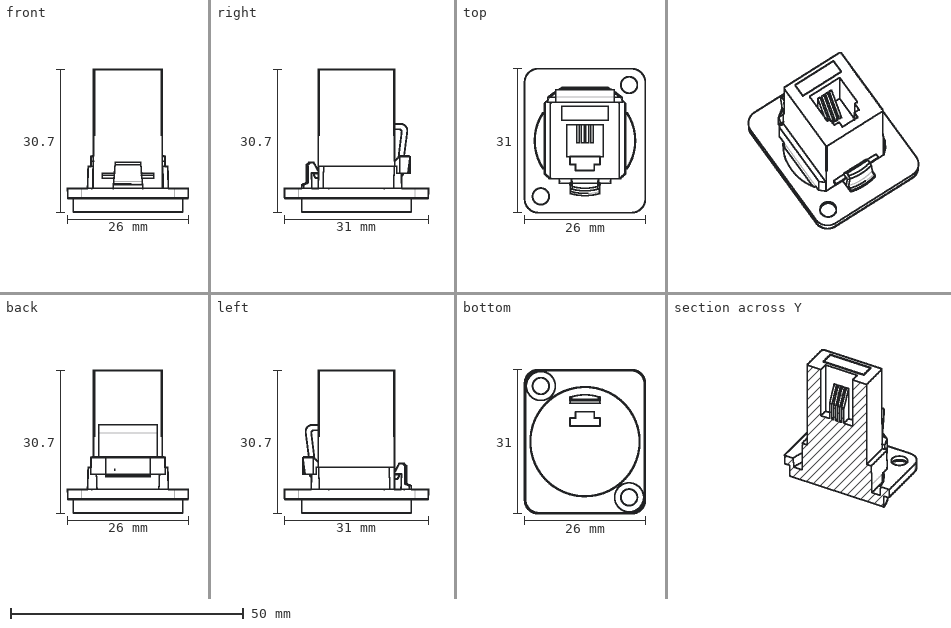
import cadquery as cq
import math

plate_x = 26.0
plate_y = 31
plate_corner = 3.0
plate_bottom = 2.82
plate_top = 5.1
plate_chamfer = 0.22
plate_draft = 1
spigot_radius = 11.8
spigot_chamfer = 0.12
hole_x = 9.5
hole_y = 11.97
hole_diameter = 3.5
sink_depth = 1.35

recess_radius = 10.88
recess_half_y = 6.0
recess_draft = 3.5

body_x = 14.82
body_y = 16.43
body_top = 30.7
edge_chamfer = 0.25
edge_chamfer_length = 14.2

base_half_x = 8.7
base_back = 9.75
base_chamfer_x = 1.15
base_chamfer_y = 1.1
base_top = 9.8
base_draft = 1.7

jack_half_x = 3.9
jack_half_y = 3.4
jack_floor = 18.6
key_half_x = 3.2
key_end = -5.08
tongue_half_x = 1.98
tongue_end = -6.4
contact_count = 4
contact_pitch = 1.0
contact_width = 0.6
contact_top = 26.47
contact_tip_y = -0.45
label_x = 9.98
label_y = 3.0
label_center_y = 5.85
label_depth = 0.15

bar_half_x = 8.0
bar_front = 11.53
bar_lower_front = 11.05
bar_bulge = 0.1
bar_front_half_x = 4.77
bar_bottom = 8.35
bar_top = 12.1
bar_chamfer = 0.25
bar_slope_start = 10.95
bar_slope_end_y = 9.3
gusset_y = 0.25
gusset_z = 0.55
strap_half_x = 6.3
strap_thickness = 1.2
strap_top = 18.97
strap_outer_y = 11.15
strap_foot_y = 10.23
strap_outer_bend = 1.5
strap_inner_bend = 0.5
strap_inset = 0.2

tab_half_bottom = 3.2
tab_half_top = 2.73
tab_inner_radius = 10.08
tab_foot_top = 5.83
tab_shoulder_z = 6.08
tab_foot_fillet = 0.55
tab_wall_radius = 10.8
tab_wall_top = 10.15
tab_top = 10.65
tab_top_outer_radius = 10.23
hook_top_y = -9.18
hook_tip_z = 8.87
hook_bottom = 8.37
rib_half_x = 5.5
rib_depth = 0.93
rib_top = 8.35
rib_bottom = 7.3
rib_chamfer_y = 0.37
rib_chamfer_z = 0.6


def block(x0, x1, y0, y1, z0, z1):
    """Axis-aligned box between two opposite corners."""
    return cq.Workplane("XY").box(x1 - x0, y1 - y0, z1 - z0, centered=False).translate((x0, y0, z0))


def cylinder(radius, z0, z1):
    """Cylinder on the Z axis."""
    return cq.Workplane("XY").workplane(offset=z0).circle(radius).extrude(z1 - z0)


def prism_along_x(points, half_x):
    """Prism with a (Y, Z) outline, centred on X = 0."""
    return cq.Workplane("YZ").polyline(points).close().extrude(half_x, both=True)


def make_flange():
    """Rounded plate with a spigot below, side recesses and two mounting holes."""
    plate = (
        cq.Workplane("XY").workplane(offset=plate_top)
        .sketch().rect(plate_x, plate_y).vertices().fillet(plate_corner).finalize()
        .extrude(plate_bottom - plate_top, taper=plate_draft)
        .faces("<Z").edges().chamfer(plate_chamfer)
    )
    spigot = cylinder(spigot_radius, 0, plate_bottom).faces("<Z").edges().chamfer(spigot_chamfer)
    recess_end_x = math.sqrt(recess_radius**2 - recess_half_y**2)
    recesses = (
        cq.Workplane("XY").workplane(offset=plate_top)
        .moveTo(-recess_end_x, -recess_half_y)
        .lineTo(recess_end_x, -recess_half_y)
        .threePointArc((recess_radius, 0), (recess_end_x, recess_half_y))
        .lineTo(-recess_end_x, recess_half_y)
        .threePointArc((-recess_radius, 0), (-recess_end_x, -recess_half_y))
        .close().extrude(plate_bottom - plate_top, taper=recess_draft)
    )
    flange = plate.union(spigot).cut(recesses)
    sink_radius = hole_diameter / 2 + sink_depth
    for side in (-1, 1):
        hole = cylinder(hole_diameter / 2, plate_bottom, plate_top)
        sink_base = cq.Vector(0, 0, plate_bottom)
        sink = cq.Solid.makeCone(sink_radius, hole_diameter / 2, sink_depth, pnt=sink_base)
        flange = flange.cut(hole.union(sink).translate((side * hole_x, side * hole_y, 0)))
    return flange


def make_base():
    """Wide base of the housing, drafted above the plate and rounded to the spigot."""
    front = -body_y / 2
    outline = [
        (-base_half_x, base_back),
        (-base_half_x, front + base_chamfer_y),
        (-base_half_x + base_chamfer_x, front),
        (base_half_x - base_chamfer_x, front),
        (base_half_x, front + base_chamfer_y),
        (base_half_x, base_back),
    ]
    root = (
        cq.Workplane("XY").workplane(offset=plate_bottom)
        .polyline(outline).close().extrude(plate_top - plate_bottom)
    )
    drafted = (
        cq.Workplane("XY").workplane(offset=plate_top)
        .polyline(outline).close().extrude(base_top - plate_top, taper=base_draft)
    )
    return root.union(drafted).intersect(cylinder(spigot_radius, plate_bottom, base_top))


def make_body():
    """Square housing whose upright edges are chamfered near the top."""
    chamfer_bottom = body_top - edge_chamfer_length
    lower = block(-body_x / 2, body_x / 2, -body_y / 2, body_y / 2, plate_bottom, chamfer_bottom)
    upper = block(-body_x / 2, body_x / 2, -body_y / 2, body_y / 2, chamfer_bottom, body_top)
    return lower.union(upper.edges("|Z").chamfer(edge_chamfer))


def make_openings():
    """Plug opening with a floor, stepped keyway right through, and shallow label recess."""
    opening = block(-jack_half_x, jack_half_x, -jack_half_y, jack_half_y, jack_floor, body_top)
    key = block(-key_half_x, key_half_x, key_end, -jack_half_y, 0, body_top)
    tongue = block(-tongue_half_x, tongue_half_x, tongue_end, key_end, 0, body_top)
    label = (
        cq.Workplane("XY").box(label_x, label_y, label_depth)
        .translate((0, label_center_y, body_top - label_depth / 2))
    )
    return opening.union(key).union(tongue).union(label)


def make_contacts():
    """Row of sloped contacts on the +Y wall of the plug opening."""
    contact = prism_along_x(
        [(jack_half_y, contact_top), (jack_half_y, jack_floor), (contact_tip_y, jack_floor)],
        contact_width / 2,
    )
    contacts = cq.Workplane("XY")
    for index in range(contact_count):
        offset = (index - (contact_count - 1) / 2) * contact_pitch
        contacts = contacts.union(contact.translate((offset, 0, 0)))
    return contacts


def bar_outline(front_y, z):
    """Plan outline of the latch bar with slightly bowed corner faces."""
    back = body_y / 2
    chord_x = bar_front_half_x - bar_half_x
    chord_y = front_y - bar_slope_end_y
    chord = math.hypot(chord_x, chord_y)
    bow_x = (bar_half_x + bar_front_half_x) / 2 + bar_bulge * chord_y / chord
    bow_y = (bar_slope_end_y + front_y) / 2 - bar_bulge * chord_x / chord
    return (
        cq.Workplane("XY").workplane(offset=z)
        .moveTo(-bar_half_x, back)
        .lineTo(bar_half_x, back)
        .lineTo(bar_half_x, bar_slope_end_y)
        .threePointArc((bow_x, bow_y), (bar_front_half_x, front_y))
        .lineTo(-bar_front_half_x, front_y)
        .threePointArc((-bow_x, bow_y), (-bar_half_x, bar_slope_end_y))
        .close()
    )


def make_latch():
    """Latch bar hanging on a bent strap from the +Y face of the housing."""
    back = body_y / 2
    lower_wire = bar_outline(bar_lower_front, bar_bottom).wires().val()
    upper_wire = bar_outline(bar_front, bar_top).wires().val()
    corners = (
        cq.Workplane("XY").add(cq.Solid.makeLoft([lower_wire, upper_wire], True))
        .faces(">Z").edges("not(<Y or |Y)").chamfer(bar_chamfer)
    )
    middle = block(-bar_front_half_x, bar_front_half_x, back, bar_front, bar_bottom, bar_top)
    profile = prism_along_x(
        [
            (back, bar_bottom),
            (bar_front, bar_bottom),
            (bar_front, bar_top - bar_chamfer),
            (bar_front - bar_chamfer, bar_top),
            (bar_slope_end_y, bar_top),
            (back, bar_slope_start),
        ],
        bar_half_x,
    )
    bar = corners.union(middle).intersect(profile)

    foot_z = bar_top - bar_chamfer
    outer_bend = (strap_outer_y, strap_top)
    inner_bend = (strap_outer_y - strap_thickness - strap_inset, strap_top - strap_thickness)
    strap = prism_along_x(
        [
            (back, strap_top),
            outer_bend,
            (strap_foot_y, foot_z),
            (strap_foot_y - strap_thickness, foot_z),
            inner_bend,
            (back, strap_top - strap_thickness),
        ],
        strap_half_x,
    )
    for bend, radius in ((outer_bend, strap_outer_bend), (inner_bend, strap_inner_bend)):
        strap = strap.edges(cq.selectors.NearestToPointSelector((0, *bend))).fillet(radius)

    gusset = prism_along_x(
        [
            (base_back, bar_bottom),
            (base_back + gusset_y, bar_bottom),
            (base_back + gusset_y, bar_bottom - gusset_z / 2),
            (base_back, bar_bottom - gusset_z),
        ],
        bar_front_half_x,
    )
    return bar.union(strap).union(gusset)


def make_tab():
    """Catch tab standing on the plate on the -Y side."""
    foot_shoulder = tab_wall_radius + tab_foot_fillet
    fillet_top = tab_shoulder_z + tab_foot_fillet
    fillet_reach = tab_foot_fillet * math.sqrt(0.5)
    wall = (
        cq.Workplane("XZ")
        .moveTo(tab_inner_radius, plate_bottom)
        .lineTo(spigot_radius, plate_bottom)
        .lineTo(spigot_radius, tab_foot_top)
        .lineTo(foot_shoulder, tab_shoulder_z)
        .threePointArc(
            (foot_shoulder - fillet_reach, fillet_top - fillet_reach), (tab_wall_radius, fillet_top)
        )
        .lineTo(tab_wall_radius, tab_wall_top)
        .lineTo(tab_top_outer_radius, tab_top)
        .lineTo(tab_inner_radius, tab_top)
        .close().revolve(360, (0, 0), (0, 1))
    )
    front = -body_y / 2
    hook = prism_along_x(
        [
            (-tab_wall_radius, tab_top),
            (hook_top_y, tab_top),
            (front, hook_tip_z),
            (front, hook_bottom),
            (-tab_wall_radius, hook_bottom),
        ],
        tab_half_bottom,
    ).intersect(cylinder(tab_top_outer_radius, hook_bottom, tab_top))
    sides = (
        cq.Workplane("XZ")
        .polyline(
            [
                (-tab_half_bottom, plate_bottom),
                (tab_half_bottom, plate_bottom),
                (tab_half_bottom, plate_top),
                (tab_half_top, tab_top),
                (-tab_half_top, tab_top),
                (-tab_half_bottom, plate_top),
            ]
        )
        .close().extrude(plate_y / 2)
    )
    return wall.union(hook).intersect(sides)


def make_tab_gap():
    """Gap through the flange between the housing and the tab."""
    gap = block(-tab_half_bottom, tab_half_bottom, -spigot_radius, -body_y / 2, 0, plate_top)
    return gap.intersect(cylinder(tab_inner_radius, 0, plate_top))


def make_rib():
    """Low rib across the -Y face of the housing, bevelled underneath."""
    inner = -body_y / 2
    outer = inner - rib_depth
    return prism_along_x(
        [
            (inner, rib_top),
            (outer, rib_top),
            (outer, rib_bottom + rib_chamfer_z),
            (outer + rib_chamfer_y, rib_bottom),
            (inner, rib_bottom),
        ],
        rib_half_x,
    )


result = (
    make_flange()
    .union(make_base())
    .union(make_body())
    .cut(make_openings())
    .union(make_contacts())
    .cut(make_tab_gap())
    .union(make_latch())
    .union(make_tab())
    .union(make_rib())
)